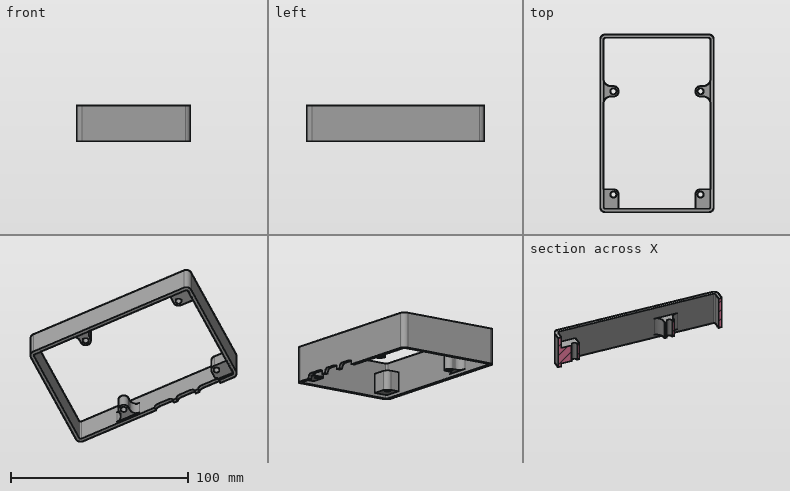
import cadquery as cq
import math

width = 64.0
length = 100.0
height = 20.3
wall = 2.0
outer_radius = 3.0
inner_radius = outer_radius - wall
inner_x = width / 2 - wall
inner_y = length / 2 - wall

hole_diameter = 3.3
lug_radius = 3.0
lug_bottom = 2.0
lug_top = 13.1
lug_height = lug_top - lug_bottom
hole_x = 24.5
corner_hole_y = -40.0
middle_hole_y = corner_hole_y + 58.0
flare_radius = 4.0
flare_end_x = width / 2 - 6.0

notches = [(-4.2, 11.2), (-17.8, 11.2), (-32.3, 13.0)]
notch_height = 2.8
notch_radius = 2.5


def rounded_block(size_x, size_y, radius):
    """Full-height block with rounded vertical edges."""
    block = cq.Workplane("XY").box(size_x, size_y, height, centered=(True, True, False))
    return block.edges("|Z").fillet(radius)


def middle_lug():
    """Round-ended lug on the +X wall whose sides flare concavely into the wall."""
    flare_y = lug_radius + flare_radius
    flare_run = inner_x - flare_end_x
    root_y = flare_y - math.sqrt(flare_radius**2 - flare_run**2)
    mid_x = flare_end_x + flare_radius * math.sin(math.asin(flare_run / flare_radius) / 2)
    mid_y = flare_y - math.sqrt(flare_radius**2 - (mid_x - flare_end_x) ** 2)
    root_x = inner_x + wall / 2
    return (
        cq.Workplane("XY", origin=(0, middle_hole_y, lug_bottom))
        .moveTo(root_x, root_y)
        .lineTo(inner_x, root_y)
        .threePointArc((mid_x, mid_y), (flare_end_x, lug_radius))
        .lineTo(hole_x, lug_radius)
        .threePointArc((hole_x - lug_radius, 0), (hole_x, -lug_radius))
        .lineTo(flare_end_x, -lug_radius)
        .threePointArc((mid_x, -mid_y), (inner_x, -root_y))
        .lineTo(root_x, -root_y)
        .close()
        .extrude(lug_height)
    )


def corner_lug():
    """Block filling the inner +X -Y corner, rounded at its free edge."""
    free_x = hole_x - lug_radius
    free_y = corner_hole_y + lug_radius
    end_x = inner_x + wall / 2
    end_y = -inner_y - wall / 2
    return (
        cq.Workplane("XY", origin=(free_x, end_y, lug_bottom))
        .box(end_x - free_x, free_y - end_y, lug_height, centered=False)
        .edges("|Z and <X and >Y")
        .fillet(lug_radius)
    )


def notch(center_y, notch_width):
    """Cutter for a notch open at the bottom, with rounded upper corners."""
    return (
        cq.Workplane("XY", origin=(width / 2, center_y, 0))
        .box(3 * wall, notch_width, notch_height, centered=(True, True, False))
        .edges("|X and >Z")
        .fillet(notch_radius)
    )


result = rounded_block(width, length, outer_radius).cut(
    rounded_block(2 * inner_x, 2 * inner_y, inner_radius)
)

for lug in (middle_lug(), corner_lug()):
    result = result.union(lug).union(lug.mirror("YZ"))

hole_centers = [(side * hole_x, y) for side in (-1, 1) for y in (corner_hole_y, middle_hole_y)]
holes = cq.Workplane("XY").pushPoints(hole_centers).circle(hole_diameter / 2).extrude(height)
result = result.cut(holes)

for center_y, notch_width in notches:
    result = result.cut(notch(center_y, notch_width))